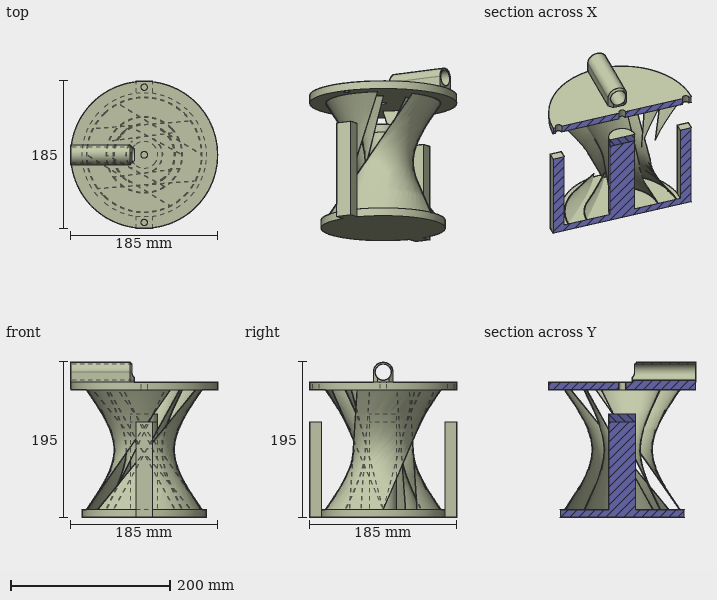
import cadquery as cq
import math

total_height = 195.0
base_top = 10.0
column_top = 120.0
collar_top = 130.0
plate_bottom = 160.0
plate_top = 170.0

base_radius = 78.2
plate_radius = 92.5
column_radius = 34.0 / 2

post_width = 21.0
post_depth = 15.0
post_height = column_top
post_y = plate_radius - post_depth / 2

center_hole_diameter = 8.5
side_hole_diameter = 8.0

outer_ring_radius = 72.7
outer_ring_twist = 117.0
inner_ring_radius = 48.2
inner_ring_twist = 123.0
shell_wall = 1.0
gap_angle = 36.0
shells_per_ring = 2
shell_pitch = 360.0 / shells_per_ring

tube_width = 25.0
tube_radius = tube_width / 2
tube_bore = 20.0
tube_axis_z = total_height - tube_radius
tube_start_x = -plate_radius
tube_end_x = -12.5
tube_chamfer = 5.3


def cylinder(radius, bottom, top):
    return cq.Workplane("XY").workplane(offset=bottom).circle(radius).extrude(top - bottom)


def polar_point(radius, angle, z):
    return cq.Vector(
        radius * math.cos(math.radians(angle)),
        radius * math.sin(math.radians(angle)),
        z,
    )


def arc_strip_edges(outer_radius, start_angle, z):
    """Edges of a thin arc strip: outer arc, end, inner arc, start."""
    inner_radius = outer_radius - shell_wall
    end_angle = start_angle + shell_pitch - gap_angle
    middle_angle = (start_angle + end_angle) / 2
    outer_start, outer_middle, outer_end = [
        polar_point(outer_radius, angle, z) for angle in (start_angle, middle_angle, end_angle)
    ]
    inner_start, inner_middle, inner_end = [
        polar_point(inner_radius, angle, z) for angle in (start_angle, middle_angle, end_angle)
    ]
    return [
        cq.Edge.makeThreePointArc(outer_start, outer_middle, outer_end),
        cq.Edge.makeLine(outer_end, inner_end),
        cq.Edge.makeThreePointArc(inner_end, inner_middle, inner_start),
        cq.Edge.makeLine(inner_start, outer_start),
    ]


def make_twisted_shell(outer_radius, twist, start_angle):
    """Straight lines join the lower strip to the turned upper strip, so the shell narrows at mid height."""
    lower = arc_strip_edges(outer_radius, start_angle, base_top)
    upper = arc_strip_edges(outer_radius, start_angle + twist, plate_bottom)
    caps = [cq.Face.makeFromWires(cq.Wire.assembleEdges(edges)) for edges in (lower, upper)]
    sides = [cq.Face.makeRuledSurface(low, high) for low, high in zip(lower, upper)]
    solid = cq.Solid.makeSolid(cq.Shell.makeShell(caps + sides))
    return cq.Workplane(solid.fix())


def make_tube_holder():
    length = tube_end_x - tube_start_x
    foot = (
        cq.Workplane("XY")
        .workplane(offset=plate_top)
        .center(tube_start_x + length / 2, 0)
        .rect(length, tube_width)
        .extrude(tube_axis_z - plate_top)
        .edges("|Z and >X")
        .chamfer(tube_chamfer)
    )
    barrel = (
        cq.Workplane("YZ", origin=(tube_start_x, 0, tube_axis_z))
        .circle(tube_radius)
        .extrude(length)
        .faces(">X")
        .chamfer(tube_chamfer)
    )
    upper_half = (
        cq.Workplane("XY", origin=(0, 0, tube_axis_z))
        .rect(2 * plate_radius, tube_width)
        .extrude(tube_radius)
    )
    bore = (
        cq.Workplane("YZ", origin=(tube_start_x, 0, tube_axis_z))
        .circle(tube_bore / 2)
        .extrude(length)
    )
    return foot.union(barrel.intersect(upper_half)).cut(bore)


def make_top_plate():
    plate = cylinder(plate_radius, plate_bottom, plate_top)
    plate = plate.cut(cylinder(center_hole_diameter / 2, plate_bottom, plate_top))
    for side in (-1, 1):
        hole = cylinder(side_hole_diameter / 2, plate_bottom, plate_top)
        plate = plate.cut(hole.translate((0, side * post_y, 0)))
    return plate


def make_post(side):
    return (
        cq.Workplane("XY")
        .center(0, side * post_y)
        .rect(post_width, post_depth)
        .extrude(post_height)
    )


def make_frame():
    """Base, posts, column, twisted shells, top plate and tube holder in one solid."""
    frame = cylinder(base_radius, 0, base_top)
    frame = frame.union(cylinder(column_radius, base_top, column_top))
    for side in (-1, 1):
        frame = frame.union(make_post(side))
    for index in range(shells_per_ring):
        start_angle = gap_angle + index * shell_pitch
        frame = frame.union(make_twisted_shell(outer_ring_radius, outer_ring_twist, start_angle))
        frame = frame.union(make_twisted_shell(inner_ring_radius, inner_ring_twist, start_angle))
    return frame.union(make_top_plate()).union(make_tube_holder())


def make_collar():
    """Round cap standing on the column."""
    return cylinder(column_radius, column_top, collar_top)


frame = make_frame()
collar = make_collar()
result = cq.Compound.makeCompound([*frame.solids().vals(), collar.val()])